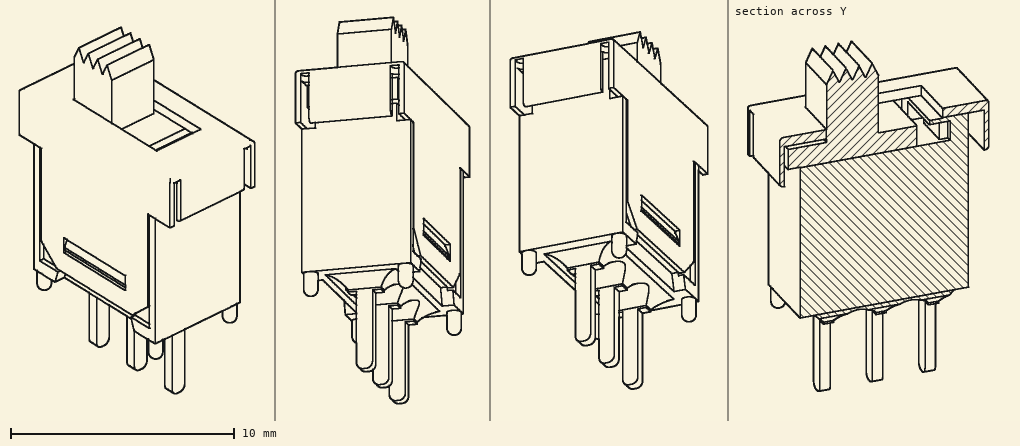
import cadquery as cq


COVER_LENGTH = 10.15
COVER_WIDTH = 5.09
COVER_TOP = 9.17
TOP_THICKNESS = 0.5
SHEET = 0.25
TOP_EDGE_RADIUS = 0.2
SKIRT_BOTTOM = 6.7
SLOT_LENGTH = 5.61
SLOT_WIDTH = 2.65
FLAP_WIDTH = 3.8
FLAP_EDGE_RADIUS = 0.2
LEG_WIDTH = 7.15
LEG_BOTTOM = 0.79
LEG_BOTTOM_WIDTH = 5.09
LEG_TAPER_START = 1.74
WINDOW_WIDTH = 4.12
WINDOW_BOTTOM = 1.87
WINDOW_TOP = 2.66

HOUSING_LENGTH = 8.15
RECESS_WIDTH = 7.38
RECESS_BOTTOM = 0.64
NOTCH_TOP_WIDTH = 4.82
NOTCH_BOTTOM_WIDTH = 5.32
NOTCH_DEPTH = 0.55
CATCH_PROTRUSION = 0.2
CATCH_EDGE_BOTTOM = 1.99
CATCH_EDGE_TOP = 2.12
PEG_DIAMETER = 0.65
PEG_LENGTH = 1.05
STOP_START = 2.18
STOP_WIDTH = 4.14
STOP_ROOF = 0.23
STOP_POCKET_WIDTH = 2.79
STOP_POCKET_LENGTH = 0.98
STOP_RIB_START = 2.75
STOP_RIB_WIDTH = 1.84

POST_LENGTH = 2.53
POST_WIDTH = 2.53
POST_TOP = 12.06
TOOTH_COUNT = 4
TOOTH_HEIGHT = 0.65
CARRIAGE_LENGTH = 6.24
CARRIAGE_WIDTH = 4.23
CARRIAGE_BOTTOM = 7.52
CARRIAGE_TOP = 8.53

TERMINAL_PITCH = 2.55
TERMINAL_THICKNESS = 0.51
TERMINAL_WIDTH = 0.75
TERMINAL_TIP = -4.35
TIP_RADIUS = 0.31
SHOULDER_WIDTH = 1.56
SHOULDER_BOTTOM = -0.7
POTTING_BOTTOM = -0.6
POTTING_WEB = 0.11
POTTING_LENGTH = 6.8
POTTING_WIDTH = 3.28
FLARE_SAG = 0.03
SIDE_FLARE_SAG = 0.13

COVER_UNDERSIDE = COVER_TOP - TOP_THICKNESS
SKIRT_INSIDE = COVER_WIDTH / 2 - SHEET
POST_CENTER = (POST_LENGTH - SLOT_LENGTH) / 2
CARRIAGE_END = POST_CENTER + CARRIAGE_LENGTH / 2
TERMINAL_PLACES = [i * TERMINAL_PITCH for i in (-1, 0, 1)]
SIDES = (-1, 1)


def block(x_min, x_max, width, z_min, z_max):
    """Box between two X places and two heights, centred on Y = 0."""
    base = cq.Workplane("XY", origin=(x_min, 0, z_min))
    return base.box(x_max - x_min, width, z_max - z_min, centered=(False, True, False))


def centered_block(length, width, z_min, z_max):
    """Box between two heights, centred on the Z axis."""
    return block(-length / 2, length / 2, width, z_min, z_max)


def front_plate(points, depth):
    """XZ outline extruded inwards from the front face of the switch."""
    return cq.Workplane("XZ", origin=(0, -COVER_WIDTH / 2, 0)).polyline(points).close().extrude(-depth)


def on_both_faces(front):
    """Adds the mirror image on the rear face."""
    return front.union(front.mirror("XZ"))


def make_cover():
    cover = centered_block(COVER_LENGTH, COVER_WIDTH, SKIRT_BOTTOM, COVER_TOP)
    cover = cover.faces(">Z").edges().fillet(TOP_EDGE_RADIUS)
    cover = cover.cut(
        centered_block(COVER_LENGTH - 2 * SHEET, 2 * SKIRT_INSIDE, SKIRT_BOTTOM, COVER_UNDERSIDE)
    )
    cover = cover.cut(centered_block(SLOT_LENGTH, SLOT_WIDTH, COVER_UNDERSIDE, COVER_TOP))

    gap = SKIRT_INSIDE - FLAP_WIDTH / 2
    relief_top = COVER_TOP - TOP_EDGE_RADIUS
    relief_height = relief_top - SKIRT_BOTTOM
    for x_side in SIDES:
        for y_side in SIDES:
            gap_y = y_side * (FLAP_WIDTH + gap) / 2
            relief = (
                cq.Workplane("XY", origin=(x_side * COVER_LENGTH / 2, gap_y, SKIRT_BOTTOM))
                .slot2D(2 * SHEET + gap, gap)
                .extrude(relief_height)
            )
            cover = cover.cut(relief)

    flap_reach = (FLAP_WIDTH + gap) / 2
    flap_bottom = cq.selectors.BoxSelector(
        (-COVER_LENGTH, -flap_reach, SKIRT_BOTTOM - SHEET),
        (COVER_LENGTH, flap_reach, SKIRT_BOTTOM + SHEET),
    )
    for end in ("<X", ">X"):
        cover = cover.edges(flap_bottom).edges("|Y").edges(end).fillet(FLAP_EDGE_RADIUS)

    leg = front_plate(
        [
            (-LEG_WIDTH / 2, SKIRT_BOTTOM),
            (-LEG_WIDTH / 2, LEG_TAPER_START),
            (-LEG_BOTTOM_WIDTH / 2, LEG_BOTTOM),
            (LEG_BOTTOM_WIDTH / 2, LEG_BOTTOM),
            (LEG_WIDTH / 2, LEG_TAPER_START),
            (LEG_WIDTH / 2, SKIRT_BOTTOM),
        ],
        SHEET,
    )
    cover = cover.union(on_both_faces(leg))
    return cover.cut(centered_block(WINDOW_WIDTH, COVER_WIDTH, WINDOW_BOTTOM, WINDOW_TOP))


def make_catch():
    """Ramped ledge that snaps into the window of the front leg."""
    root = -SKIRT_INSIDE
    nose = root - CATCH_PROTRUSION
    profile = [
        (root, WINDOW_TOP),
        (nose, CATCH_EDGE_TOP),
        (nose, CATCH_EDGE_BOTTOM),
        (root, CATCH_EDGE_BOTTOM),
    ]
    start = cq.Workplane("YZ", origin=(-WINDOW_WIDTH / 2, 0, 0))
    return start.polyline(profile).close().extrude(WINDOW_WIDTH)


def make_peg(x, y):
    """Round mounting peg with a hemispherical tip."""
    radius = PEG_DIAMETER / 2
    peg = cq.Workplane("XY", origin=(x, y, 0)).circle(radius).extrude(radius - PEG_LENGTH)
    return peg.union(cq.Workplane("XY", origin=(x, y, radius - PEG_LENGTH)).sphere(radius))


def make_stop():
    """Hollow end stop under the cover, open towards the slider, with a rib inside."""
    stop = block(STOP_START, HOUSING_LENGTH / 2, STOP_WIDTH, CARRIAGE_BOTTOM, COVER_UNDERSIDE)
    roof_underside = COVER_UNDERSIDE - STOP_ROOF
    pocket_end = STOP_START + STOP_POCKET_LENGTH
    stop = stop.cut(block(STOP_START, pocket_end, STOP_POCKET_WIDTH, CARRIAGE_BOTTOM, roof_underside))
    return stop.union(block(STOP_RIB_START, pocket_end, STOP_RIB_WIDTH, CARRIAGE_BOTTOM, roof_underside))


def make_housing():
    housing = centered_block(HOUSING_LENGTH, COVER_WIDTH, 0, SKIRT_BOTTOM)
    recess = front_plate(
        [
            (-RECESS_WIDTH / 2, SKIRT_BOTTOM),
            (-RECESS_WIDTH / 2, RECESS_BOTTOM),
            (RECESS_WIDTH / 2, RECESS_BOTTOM),
            (RECESS_WIDTH / 2, SKIRT_BOTTOM),
        ],
        SHEET,
    )
    notch = front_plate(
        [
            (-NOTCH_TOP_WIDTH / 2, LEG_BOTTOM),
            (-NOTCH_BOTTOM_WIDTH / 2, 0),
            (NOTCH_BOTTOM_WIDTH / 2, 0),
            (NOTCH_TOP_WIDTH / 2, LEG_BOTTOM),
        ],
        NOTCH_DEPTH,
    )
    housing = housing.cut(on_both_faces(recess)).cut(on_both_faces(notch))
    housing = housing.union(on_both_faces(make_catch()))
    housing = housing.union(centered_block(HOUSING_LENGTH, FLAP_WIDTH, SKIRT_BOTTOM, CARRIAGE_BOTTOM))
    housing = housing.union(make_stop())
    for x_side in SIDES:
        for y_side in SIDES:
            peg_x = x_side * (HOUSING_LENGTH - PEG_DIAMETER) / 2
            peg_y = y_side * (COVER_WIDTH - PEG_DIAMETER) / 2
            housing = housing.union(make_peg(peg_x, peg_y))
    return housing


def make_slider():
    pitch = POST_LENGTH / TOOTH_COUNT
    valley = POST_TOP - TOOTH_HEIGHT
    left = POST_CENTER - POST_LENGTH / 2
    outline = [(left, CARRIAGE_TOP), (left, valley)]
    for tooth in range(TOOTH_COUNT):
        outline.append((left + (tooth + 0.5) * pitch, POST_TOP))
        outline.append((left + (tooth + 1) * pitch, valley))
    outline.append((left + POST_LENGTH, CARRIAGE_TOP))
    post = cq.Workplane("XZ").polyline(outline).close().extrude(POST_WIDTH / 2, both=True)
    carriage = block(
        CARRIAGE_END - CARRIAGE_LENGTH,
        CARRIAGE_END,
        CARRIAGE_WIDTH,
        CARRIAGE_BOTTOM,
        CARRIAGE_TOP,
    )
    return carriage.union(post)


def arc_between(profile, start, end, sag):
    """Arc that bows upwards by sag above the middle of its chord."""
    middle = ((start[0] + end[0]) / 2, (start[1] + end[1]) / 2 + sag)
    return profile.threePointArc(middle, end)


def make_potting():
    """Potting under the housing that creeps down every terminal with hollow flanks."""
    half_length = POTTING_LENGTH / 2
    half_thickness = TERMINAL_THICKNESS / 2
    arch_height = -POTTING_BOTTOM - POTTING_WEB
    start = (-half_length, 0)
    lengthwise = cq.Workplane("XZ").moveTo(*start)
    sag = FLARE_SAG
    for x in TERMINAL_PLACES:
        lengthwise = arc_between(lengthwise, start, (x - half_thickness, POTTING_BOTTOM), sag)
        start = (x + half_thickness, POTTING_BOTTOM)
        lengthwise = lengthwise.lineTo(*start)
        sag = arch_height
    lengthwise = arc_between(lengthwise, start, (half_length, 0), FLARE_SAG)
    lengthwise = lengthwise.close().extrude(POTTING_WIDTH / 2, both=True)

    half_width = POTTING_WIDTH / 2
    half_shoulder = SHOULDER_WIDTH / 2
    crosswise = cq.Workplane("YZ").moveTo(-half_width, 0)
    crosswise = arc_between(crosswise, (-half_width, 0), (-half_shoulder, POTTING_BOTTOM), SIDE_FLARE_SAG)
    crosswise = crosswise.lineTo(half_shoulder, POTTING_BOTTOM)
    crosswise = arc_between(crosswise, (half_shoulder, POTTING_BOTTOM), (half_width, 0), SIDE_FLARE_SAG)
    crosswise = crosswise.close().extrude(half_length, both=True)
    return lengthwise.intersect(crosswise)


def make_terminal(x):
    """Flat terminal with a round-cornered tip and a wider shoulder at the potting."""
    blade = centered_block(TERMINAL_THICKNESS, TERMINAL_WIDTH, TERMINAL_TIP, 0)
    blade = blade.faces("<Z").edges("|X").fillet(TIP_RADIUS)
    shoulder = centered_block(TERMINAL_THICKNESS, SHOULDER_WIDTH, SHOULDER_BOTTOM, 0)
    return blade.union(shoulder).translate((x, 0, 0))


def make_terminal_strip():
    """Three terminals held together by the potting as one body."""
    strip = make_potting()
    for x in TERMINAL_PLACES:
        strip = strip.union(make_terminal(x))
    return strip


cover = make_cover()
housing = make_housing()
slider = make_slider()
terminal_strip = make_terminal_strip()

bodies = [cover, housing, slider, terminal_strip]
result = cq.Compound.makeCompound([body.solids().val() for body in bodies])